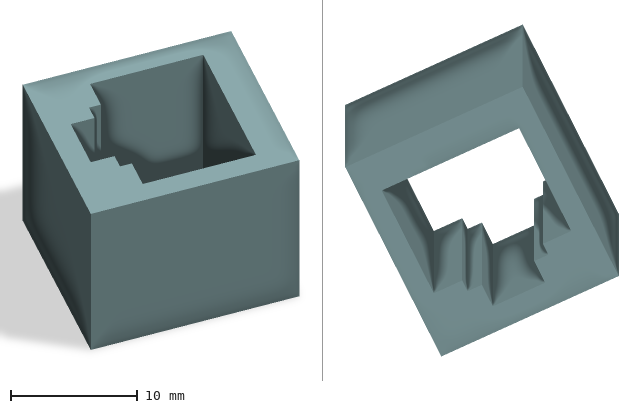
import cadquery as cq

width = 15.5
depth = 17.5
height = 15.0

back_wall = 3.0
main_width, main_depth = 12.0, 9.5
step_width, step_depth = 7.05, 1.0
notch_width, notch_depth = 4.57, 2.0


def through_slot(slot_width, slot_depth, back_y):
    """Full-height box reaching from back_y toward -Y."""
    return (
        cq.Workplane("XY")
        .center(0, back_y - slot_depth / 2)
        .rect(slot_width, slot_depth)
        .extrude(height)
    )


opening_back = depth / 2 - back_wall
step_reach = main_depth + step_depth
notch_reach = step_reach + notch_depth

result = cq.Workplane("XY").rect(width, depth).extrude(height)
for slot_width, slot_reach in (
    (main_width, main_depth),
    (step_width, step_reach),
    (notch_width, notch_reach),
):
    result = result.cut(through_slot(slot_width, slot_reach, opening_back))